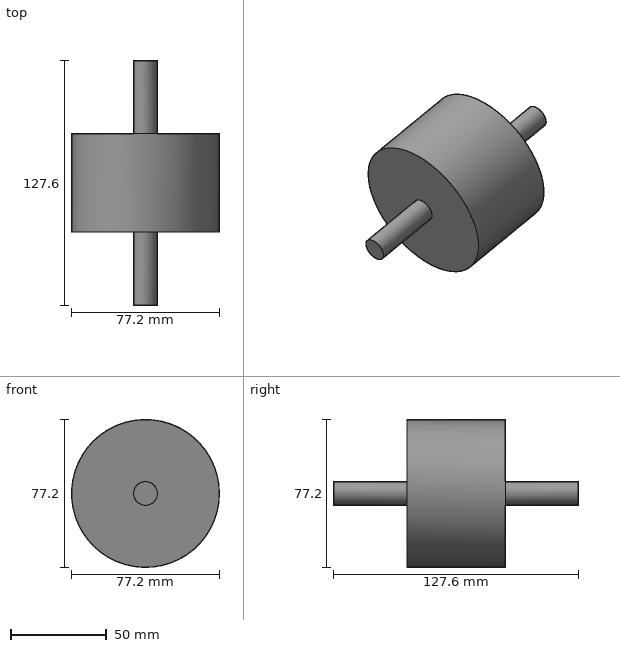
import cadquery as cq

shaft_length = 127.6
shaft_diameter = 12.4
body_diameter = 77.2
body_length = 51.4


def centered_cylinder(diameter, length):
    """Cylinder along Y, centred on the origin."""
    start_plane = cq.Workplane("XZ", origin=(0, length / 2, 0))
    return start_plane.circle(diameter / 2).extrude(length)


body = centered_cylinder(body_diameter, body_length)
shaft = centered_cylinder(shaft_diameter, shaft_length)

result = body.union(shaft)